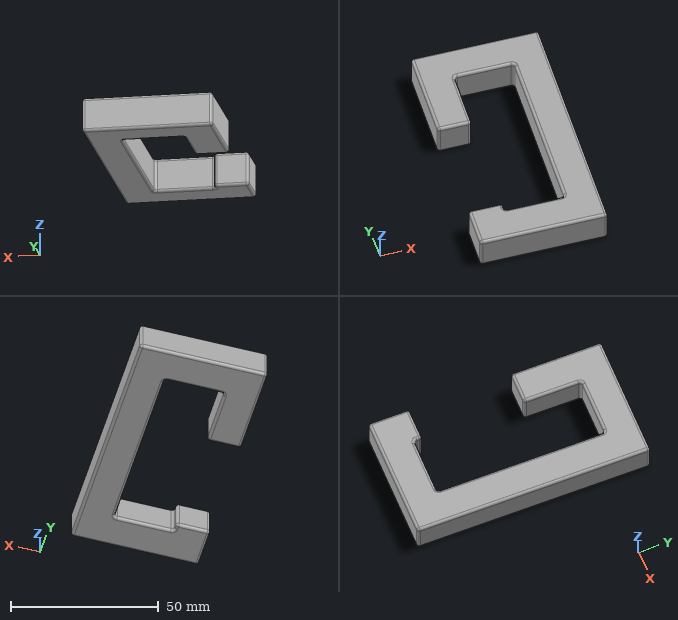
import cadquery as cq

width = 45.0
length = 85.0
thickness = 12.0

bar_width = thickness
long_jaw = 33.0
short_jaw = 15.0
edge_radius = 1.0


def c_plate():
    """Flat C-shaped plate, open towards -X, with sharp edges."""
    left, right = -width / 2, width / 2
    bottom, top = -length / 2, length / 2
    jaw_inner = left + bar_width
    spine_inner = right - bar_width
    outline = [
        (left, bottom),
        (right, bottom),
        (right, top),
        (left, top),
        (left, top - long_jaw),
        (jaw_inner, top - long_jaw),
        (jaw_inner, top - bar_width),
        (spine_inner, top - bar_width),
        (spine_inner, bottom + bar_width),
        (jaw_inner, bottom + bar_width),
        (jaw_inner, bottom + short_jaw),
        (left, bottom + short_jaw),
    ]
    return cq.Workplane("XY").polyline(outline).close().extrude(thickness)


rounded_corners = c_plate().edges("|Z").fillet(edge_radius)
result = rounded_corners.faces("<Z or >Z").edges().fillet(edge_radius)